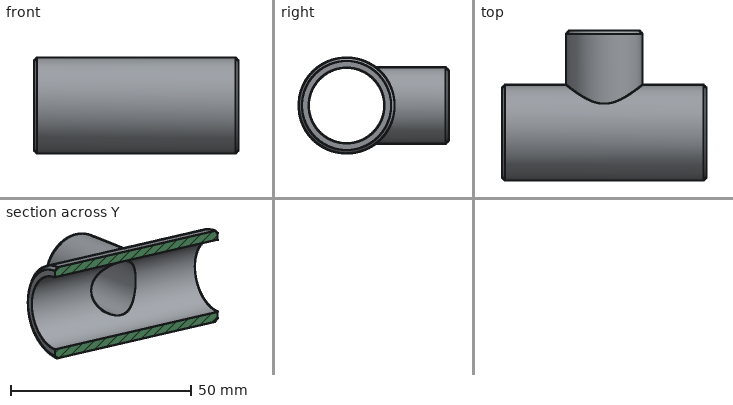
import cadquery as cq

run_length = 56.9
run_diameter = 26.7
run_bore = 20.95
branch_diameter = 21.3
overall_depth = 41.75
end_bevel = 0.95

wall = (run_diameter - run_bore) / 2
branch_bore = branch_diameter - 2 * wall
branch_reach = overall_depth - run_diameter / 2


def run_cylinder(diameter):
    """Cylinder along X, centred on the origin."""
    return cq.Workplane("YZ").circle(diameter / 2).extrude(run_length / 2, both=True)


def branch_cylinder(diameter):
    """Cylinder from the run axis out along +Y."""
    return cq.Workplane("XZ").circle(diameter / 2).extrude(-branch_reach)


run = run_cylinder(run_diameter).faces("<X or >X").edges().chamfer(end_bevel)
branch = branch_cylinder(branch_diameter).faces(">Y").edges().chamfer(end_bevel)
body = run.union(branch)

result = body.cut(run_cylinder(run_bore)).cut(branch_cylinder(branch_bore))